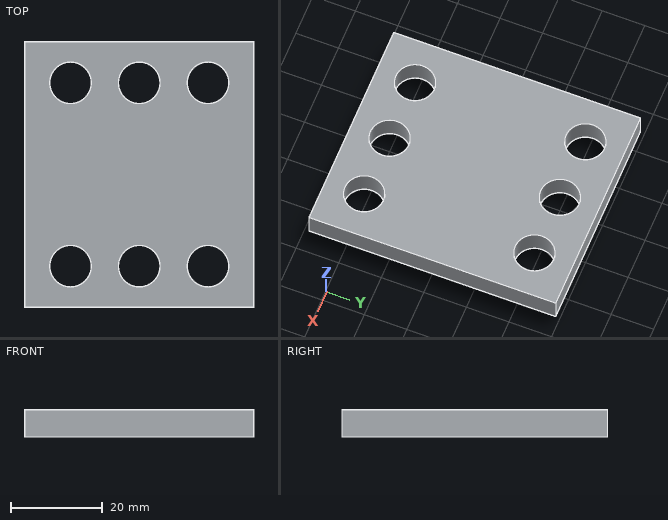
import cadquery as cq

plate_width = 50.0
plate_length = 58.0
plate_thickness = 6.0

hole_diameter = 9.0
holes_per_row = 3
row_count = 2
hole_pitch = 15.0
row_spacing = 40.0


def make_plate():
    """Rectangular plate resting on Z = 0, centred in X and Y."""
    return cq.Workplane("XY").box(
        plate_width, plate_length, plate_thickness, centered=(True, True, False)
    )


def drill_holes(plate):
    """Drill the grid of holes through the full thickness."""
    return (
        plate.faces(">Z")
        .workplane()
        .rarray(hole_pitch, row_spacing, holes_per_row, row_count)
        .hole(hole_diameter)
    )


result = drill_holes(make_plate())